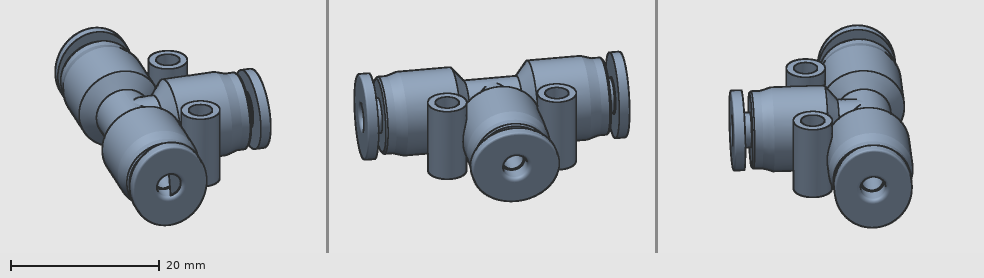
import cadquery as cq
import math

arm_length = 18.0
ring_thickness = 1.48
collar_end = arm_length - 2.52
collar_start = arm_length - 3.92
body_outer = arm_length - 5.45
body_inner = arm_length - 12.7
cone_inner = arm_length - 14.35

collar_diameter = 10.5
body_diameter = 11.4
core_diameter = 7.52
neck_diameter = 4.8
bore_diameter = 3.0
ring_bore_diameter = 3.4

ring_long_axis = 12.0
ring_short_axis = collar_diameter
edge_round = 0.25
neck_flare = 0.15
ring_bore_round = 0.55
ring_bore_depth = arm_length - collar_end

cover_thickness = 0.15
cover_edge_offset = 0.15
cover_edge_tilt = 4.0

tube_offset = 7.52
tube_diameter = 5.25
tube_hole_diameter = 3.2
tube_height = 10.35


def make_arm():
    """One arm along +Z, with the long axis of its ring along X."""
    core_radius = core_diameter / 2
    body_radius = body_diameter / 2
    collar_radius = collar_diameter / 2
    neck_radius = neck_diameter / 2
    ring_back = arm_length - ring_thickness
    profile = [
        (0, 0),
        (core_radius, 0),
        (core_radius, cone_inner),
        (body_radius, body_inner),
        (body_radius, body_outer),
        (collar_radius, collar_start),
        (collar_radius, collar_end - edge_round),
        (collar_radius - edge_round, collar_end),
        (neck_radius, collar_end),
        (neck_radius, ring_back - neck_flare),
        (neck_radius + neck_flare, ring_back),
        (0, ring_back),
    ]
    barrel = cq.Workplane("XZ").polyline(profile).close().revolve(360, (0, 0), (0, 1))
    ring = (
        cq.Workplane("XY", origin=(0, 0, ring_back))
        .ellipse(ring_long_axis / 2, ring_short_axis / 2)
        .extrude(ring_thickness)
        .faces(">Z").edges().fillet(edge_round)
    )
    return barrel.union(ring)


def make_bore():
    """Passage of one arm along +Z, widened and rounded where it opens."""
    bore_radius = bore_diameter / 2
    ring_bore_radius = ring_bore_diameter / 2
    mouth_radius = ring_bore_radius + ring_bore_round
    round_start = arm_length - ring_bore_round
    diagonal_reach = ring_bore_round * math.cos(math.radians(45))
    return (
        cq.Workplane("XZ")
        .lineTo(bore_radius, 0)
        .lineTo(bore_radius, arm_length - ring_bore_depth)
        .lineTo(ring_bore_radius, arm_length - ring_bore_depth)
        .lineTo(ring_bore_radius, round_start)
        .threePointArc((mouth_radius - diagonal_reach, round_start + diagonal_reach), (mouth_radius, arm_length))
        .lineTo(0, arm_length)
        .close()
        .revolve(360, (0, 0), (0, 1))
    )


def place_on_all_arms(shape):
    """Copies of a +Z shape on the +X, -X and +Y arms of the tee."""
    right = shape.rotate((0, 0, 0), (0, 1, 0), 90)
    left = shape.rotate((0, 0, 0), (0, 1, 0), -90)
    back = shape.rotate((0, 0, 0), (1, 0, 0), -90)
    return right.union(left).union(back)


def upright_pair(diameter):
    """Upright cylinders, one on each side of the +Y arm."""
    return (
        cq.Workplane("XY", origin=(0, 0, -tube_height / 2))
        .pushPoints([(-tube_offset, tube_offset), (tube_offset, tube_offset)])
        .circle(diameter / 2)
        .extrude(tube_height)
    )


def make_bore_cover():
    """Thin half disc closing the +Y half of the bore at the +X tip."""
    round_start = arm_length - ring_bore_round
    disc = cq.Workplane("YZ", origin=(round_start - cover_thickness, 0, 0)).circle(neck_diameter / 2)
    half_space = (
        cq.Workplane("XY")
        .box(2 * arm_length, body_diameter, body_diameter, centered=(True, False, True))
        .rotate((0, 0, 0), (1, 0, 0), cover_edge_tilt)
        .translate((0, cover_edge_offset, 0))
    )
    return disc.extrude(cover_thickness).intersect(half_space)


result = (
    place_on_all_arms(make_arm())
    .union(upright_pair(tube_diameter))
    .cut(upright_pair(tube_hole_diameter))
    .cut(place_on_all_arms(make_bore()))
    .union(make_bore_cover())
)